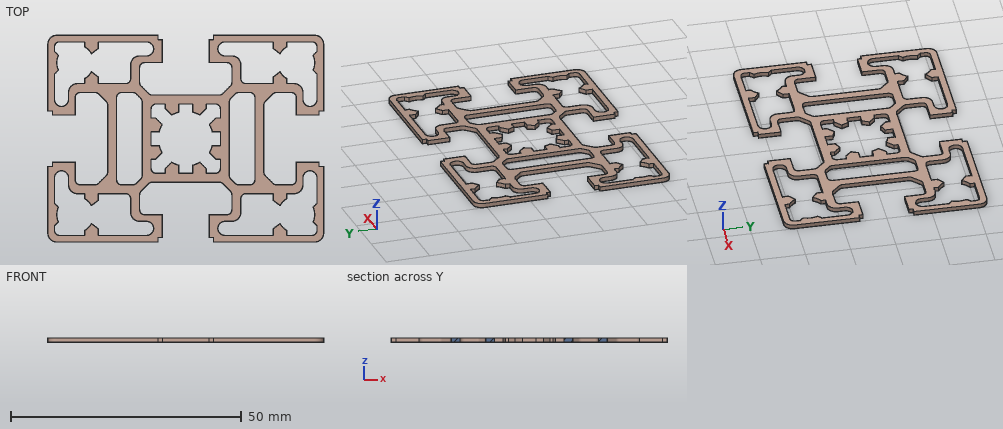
import cadquery as cq
import math

shortest_line = 1e-6

length_x = 60.0
width_y = 45.0
thickness = 1.0
outer_corner_radius = 2.0
half_x = length_x / 2
half_y = width_y / 2

mouth_half_width = 5.1
mouth_recess_half_width = 6.0
mouth_recess_depth = 1.0
lip_depth = 6.0
slot_depth = 13.0
chamber_half_width = 10.0
chamber_chamfer = 2.25
chamfer_blend_radius = 1.0
chamber_radius = 1.0

web = 2.0
outer_wall = 1.5

core_half = half_y - slot_depth - web
core_corner_radius = 1.0
core_bore_radius = 5.95
core_rib_near = 1.5
core_rib_width = 3.0
core_rib_tip = 3.05
side_pocket_inner = core_half + web
side_pocket_outer = half_x - slot_depth - web
side_pocket_outer_radius = 1.0
side_pocket_inner_chamfer = 1.55

arm_width = 3.0
arm_end = 7.0
neck = chamber_half_width + web
pocket_corner_radius = 1.0
elbow_radius = 2.0
screw_bore_radius = 4.0
screw_bore_x = 24.0
screw_bore_y = (half_y - outer_wall + neck) / 2
pocket_rib_outer = 22.0
pocket_rib_width = 3.0
pocket_rib_flank_drop = 1.15
wall_rib_tip_offset = 1.6


def prism(corners):
    """Extrude a closed outline of (x, y, radius) corners; radius 0 stays sharp."""
    outline = None
    count = len(corners)
    for i, (x, y, radius) in enumerate(corners):
        before = corners[i - 1]
        after = corners[(i + 1) % count]
        corner = cq.Vector(x, y)
        to_before = (cq.Vector(before[0], before[1]) - corner).normalized()
        to_after = (cq.Vector(after[0], after[1]) - corner).normalized()
        half_angle = to_before.getAngle(to_after) / 2
        setback = radius / math.tan(half_angle)
        start = corner + to_before * setback
        if outline is None:
            outline = cq.Workplane("XY").moveTo(start.x, start.y)
        elif (start - last).Length > shortest_line:
            outline = outline.lineTo(start.x, start.y)
        last = start
        if radius > 0:
            bisector = (to_before + to_after).normalized()
            middle = corner + bisector * (radius / math.sin(half_angle) - radius)
            end = corner + to_after * setback
            outline = outline.threePointArc((middle.x, middle.y), (end.x, end.y))
            last = end
    return outline.close().extrude(thickness)


def cylinder(x, y, radius):
    """Round column through the full thickness, centred on (x, y)."""
    return cq.Workplane("XY").center(x, y).circle(radius).extrude(thickness)


def four_quadrants(shape):
    """Combine a +X +Y shape with its mirror images in the other quadrants."""
    half = shape.union(shape.mirror("YZ"))
    return half.union(half.mirror("XZ"))


def t_slot(face):
    """T-slot opening toward +Y, with its mouth in the face at y = face."""
    step_y = face - mouth_recess_depth
    lip_y = face - lip_depth
    floor_y = face - slot_depth
    floor_half = chamber_half_width - chamber_chamfer
    right_side = [
        (mouth_recess_half_width, face, 0),
        (mouth_recess_half_width, step_y, 0),
        (mouth_half_width, step_y, 0),
        (mouth_half_width, lip_y, 0),
        (chamber_half_width, lip_y, chamber_radius),
        (chamber_half_width, floor_y + chamber_chamfer, chamfer_blend_radius),
        (floor_half, floor_y, chamfer_blend_radius),
    ]
    left_side = [(-x, y, radius) for x, y, radius in reversed(right_side)]
    return prism(right_side + left_side)


def side_pocket():
    """Tall pocket on the +X side of the core."""
    top = chamber_half_width
    chamfer = side_pocket_inner_chamfer
    upper_side = [
        (side_pocket_inner, top - chamfer, chamfer_blend_radius),
        (side_pocket_inner + chamfer, top, chamfer_blend_radius),
        (side_pocket_outer, top, side_pocket_outer_radius),
    ]
    lower_side = [(x, -y, radius) for x, y, radius in reversed(upper_side)]
    return prism(upper_side + lower_side)


def core_opening():
    """Square opening less eight ribs that end on the round core bore."""
    square = [(1, 1), (-1, 1), (-1, -1), (1, -1)]
    opening = prism([(core_half * sx, core_half * sy, core_corner_radius) for sx, sy in square])
    far = core_rib_near + core_rib_width
    tip_y = math.sqrt(core_bore_radius**2 - core_rib_tip**2)
    rib = prism([
        (core_rib_near, core_half, 0),
        (core_rib_near, tip_y, 0),
        (core_rib_tip, tip_y, 0),
        (far, tip_y + far - core_rib_tip, 0),
        (far, core_half, 0),
    ]).cut(cylinder(0, 0, core_bore_radius))
    rib_pair = rib.union(rib.mirror("YZ"))
    for quarter in range(4):
        opening = opening.cut(rib_pair.rotate((0, 0, 0), (0, 0, 1), 90 * quarter))
    return opening


def corner_pocket():
    """L-shaped pocket of the +X +Y corner less the ribs around its screw bore."""
    right = half_x - outer_wall
    top = half_y - outer_wall
    arm_radius = arm_width / 2
    pocket = prism([
        (right, top, pocket_corner_radius),
        (arm_end, top, arm_radius),
        (arm_end, top - arm_width, arm_radius),
        (neck, top - arm_width, elbow_radius),
        (neck, neck, pocket_corner_radius),
        (right - arm_width, neck, elbow_radius),
        (right - arm_width, arm_end, arm_radius),
        (right, arm_end, arm_radius),
    ])
    bore = cylinder(screw_bore_x, screw_bore_y, screw_bore_radius)

    rib_inner = pocket_rib_outer - pocket_rib_width
    tip_x = pocket_rib_outer - pocket_rib_width / 2
    tip_rise = math.sqrt(screw_bore_radius**2 - (screw_bore_x - tip_x) ** 2)
    for side in (1, -1):
        wall_y = screw_bore_y + side * (top - screw_bore_y)
        tip_y = screw_bore_y + side * tip_rise
        rib = prism([
            (pocket_rib_outer, wall_y, 0),
            (pocket_rib_outer, tip_y, 0),
            (tip_x, tip_y, 0),
            (rib_inner, tip_y + side * pocket_rib_flank_drop, 0),
            (rib_inner, wall_y, 0),
        ])
        pocket = pocket.cut(rib.cut(bore))

    tip_run = math.sqrt(screw_bore_radius**2 - wall_rib_tip_offset**2)
    pad_x = screw_bore_x + tip_run
    foot = wall_rib_tip_offset + right - pad_x
    pad = prism([
        (right, screw_bore_y + foot, 0),
        (pad_x, screw_bore_y + wall_rib_tip_offset, 0),
        (pad_x, screw_bore_y - wall_rib_tip_offset, 0),
        (right, screw_bore_y - foot, 0),
    ])
    return pocket.cut(pad.cut(bore))


plate = cq.Workplane("XY").rect(length_x, width_y).extrude(thickness)
plate = plate.edges("|Z").fillet(outer_corner_radius)

for angle, face in ((0, half_y), (90, half_x), (180, half_y), (270, half_x)):
    plate = plate.cut(t_slot(face).rotate((0, 0, 0), (0, 0, 1), angle))

plate = plate.cut(side_pocket()).cut(side_pocket().mirror("YZ"))
plate = plate.cut(core_opening())
result = plate.cut(four_quadrants(corner_pocket()))